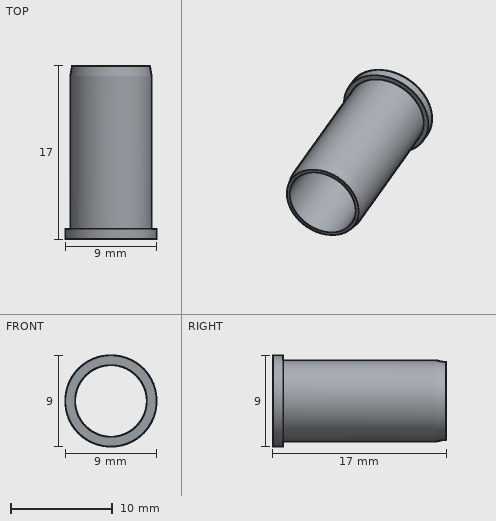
import cadquery as cq
import math

length = 17.0
flange_diameter = 9.0
body_diameter = 8.0
bore_diameter = 7.0
flange_thickness = 1.0
taper_length = 1.0
taper_angle = 10.0

flange_radius = flange_diameter / 2
body_radius = body_diameter / 2
bore_radius = bore_diameter / 2
tip_radius = body_radius - taper_length * math.tan(math.radians(taper_angle))

wall_section = (
    cq.Workplane("XY")
    .moveTo(bore_radius, 0)
    .lineTo(flange_radius, 0)
    .lineTo(flange_radius, flange_thickness)
    .lineTo(body_radius, flange_thickness)
    .lineTo(body_radius, length - taper_length)
    .lineTo(tip_radius, length)
    .lineTo(bore_radius, length)
    .close()
)

result = wall_section.revolve(360, (0, 0, 0), (0, 1, 0))